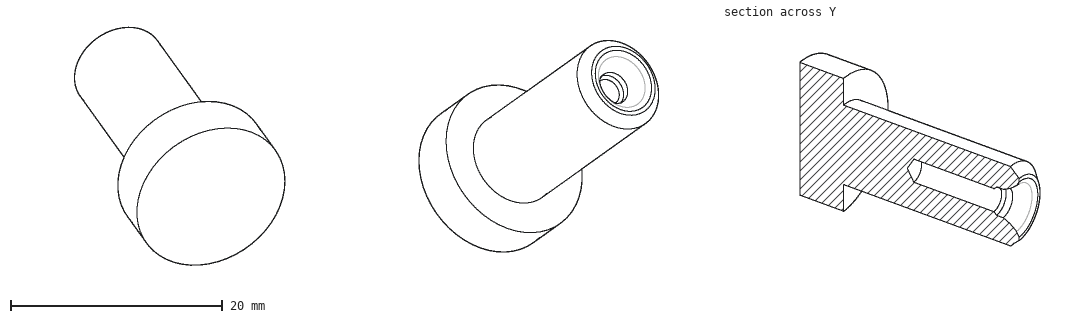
import cadquery as cq
import math

total_length = 25
head_length = 5
head_radius = 7.5
shank_radius = 4.5
end_chamfer = 1
end_face_radius = shank_radius - end_chamfer

mouth_radius = 3.1
seat_radius = 2.58
seat_depth = 0.3
throat_radius = 1.58
throat_depth = 1.82
flare_bulge = 0.1
relief_length = 0.75
shoulder_half_angle = 45
bore_radius = 1.28
bore_depth = 12
drill_tip_half_angle = 60

head_start = total_length - head_length
relief_depth = throat_depth + relief_length
shoulder_length = (throat_radius - bore_radius) / math.tan(math.radians(shoulder_half_angle))
bore_start = relief_depth + shoulder_length
hole_depth = bore_depth + bore_radius / math.tan(math.radians(drill_tip_half_angle))

flare_length = throat_depth - seat_depth
flare_drop = seat_radius - throat_radius
flare_chord = math.hypot(flare_length, flare_drop)
flare_middle = (
    (seat_depth + throat_depth) / 2 - flare_bulge * flare_drop / flare_chord,
    (seat_radius + throat_radius) / 2 - flare_bulge * flare_length / flare_chord,
)


def revolve_about_x(profile):
    return profile.close().revolve(360, (0, 0, 0), (1, 0, 0))


pin = revolve_about_x(
    cq.Workplane("XY")
    .lineTo(0, end_face_radius)
    .lineTo(end_chamfer, shank_radius)
    .lineTo(head_start, shank_radius)
    .lineTo(head_start, head_radius)
    .lineTo(total_length, head_radius)
    .lineTo(total_length, 0)
)

centre_hole = revolve_about_x(
    cq.Workplane("XY")
    .lineTo(0, mouth_radius)
    .lineTo(seat_depth, seat_radius)
    .threePointArc(flare_middle, (throat_depth, throat_radius))
    .lineTo(relief_depth, throat_radius)
    .lineTo(bore_start, bore_radius)
    .lineTo(bore_depth, bore_radius)
    .lineTo(hole_depth, 0)
)

result = pin.cut(centre_hole)